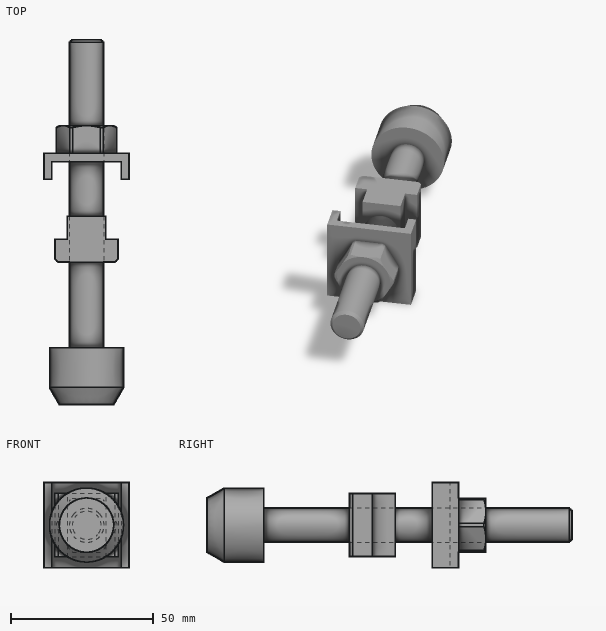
import cadquery as cq
import math


bolt_length = 128.0
rod_diameter = 12.0
rod_chamfer = 1.0
head_diameter = 26.0
head_length = 20.0
head_taper_length = 6.0
head_taper_angle = 30.0

block_width = 22.1
block_height = block_width
block_start = 49.9
block_length = 16.1
block_flange_length = block_length / 2
block_stem_width = 13.6
block_corner_chamfer = 1.2

bracket_size = 30.0
bracket_start = 79.0
bracket_depth = 9.2
bracket_web = 3.1
bracket_wall = 2.8

nut_start = bracket_start + bracket_depth
nut_length = 9.6
nut_across_flats = 19.0
nut_corner_diameter = 21.2
nut_chamfer_angle = 30.0


def plane_at(y):
    """Plane across the bolt axis, with its normal along +Y and local y along +Z."""
    return cq.Workplane(cq.Plane(origin=(0, y, 0), xDir=(-1, 0, 0), normal=(0, 1, 0)))


def revolve_about_bolt_axis(outline):
    """Solid of revolution from (radius, Y) points."""
    return cq.Workplane("XY").polyline(outline).close().revolve(360, (0, 0, 0), (0, 1, 0))


def drill_for_rod(body):
    """Cut a rod-sized hole right through a body."""
    rod = plane_at(0).circle(rod_diameter / 2).extrude(bolt_length)
    return body.cut(rod)


def make_bolt():
    """Rod and tapered round head in one piece."""
    rod_radius = rod_diameter / 2
    head_radius = head_diameter / 2
    taper_inset = head_taper_length * math.tan(math.radians(head_taper_angle))
    return revolve_about_bolt_axis([
        (0, 0),
        (head_radius - taper_inset, 0),
        (head_radius, head_taper_length),
        (head_radius, head_length),
        (rod_radius, head_length),
        (rod_radius, bolt_length - rod_chamfer),
        (rod_radius - rod_chamfer, bolt_length),
        (0, bolt_length),
    ])


def make_t_block():
    """T-shaped block with its wide flange toward the bolt head."""
    flange = (
        plane_at(block_start)
        .rect(block_width, block_height)
        .extrude(block_flange_length)
        .faces("<Y")
        .edges("|Z")
        .chamfer(block_corner_chamfer)
    )
    stem = (
        plane_at(block_start + block_flange_length)
        .rect(block_stem_width, block_height)
        .extrude(block_length - block_flange_length)
    )
    return drill_for_rod(flange.union(stem))


def make_bracket():
    """U-shaped channel that opens toward the bolt head."""
    outside = plane_at(bracket_start).rect(bracket_size, bracket_size).extrude(bracket_depth)
    channel = (
        plane_at(bracket_start)
        .rect(bracket_size - 2 * bracket_wall, bracket_size)
        .extrude(bracket_depth - bracket_web)
    )
    return drill_for_rod(outside.cut(channel))


def make_nut():
    """Hexagon nut with trimmed corners and a chamfered outer end."""
    across_corners = nut_across_flats / math.cos(math.radians(30))
    hexagon = plane_at(nut_start).polygon(6, across_corners).extrude(nut_length)

    corner_radius = nut_corner_diameter / 2
    end_radius = nut_across_flats / 2
    chamfer_length = (corner_radius - end_radius) * math.tan(math.radians(nut_chamfer_angle))
    nut_end = nut_start + nut_length
    turned_envelope = revolve_about_bolt_axis([
        (0, nut_start),
        (corner_radius, nut_start),
        (corner_radius, nut_end - chamfer_length),
        (end_radius, nut_end),
        (0, nut_end),
    ])
    return drill_for_rod(hexagon.intersect(turned_envelope))


bolt = make_bolt()
t_block = make_t_block()
bracket = make_bracket()
nut = make_nut()

result = cq.Compound.makeCompound([bolt.val(), t_block.val(), bracket.val(), nut.val()])